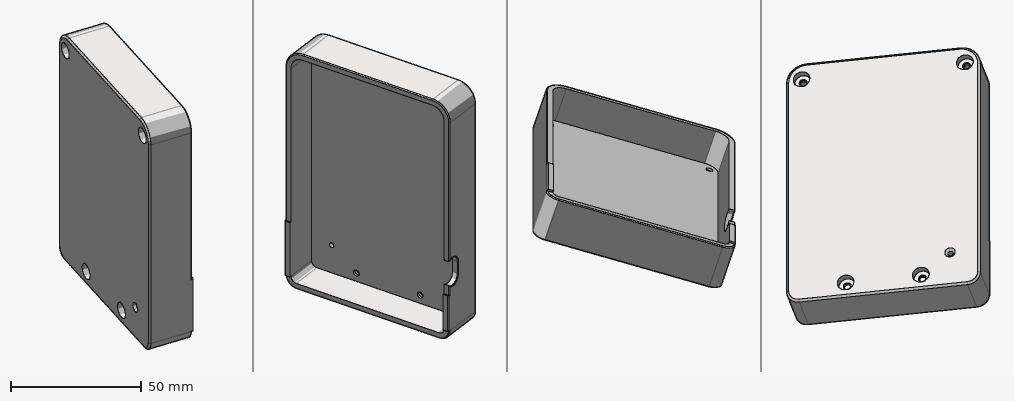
import cadquery as cq

width = 76.0
height = 106.0
depth = 19.2
lip_height = 0.7
wall = 2.5
floor_thickness = 4.2
top_corner_radius = 8.0
bottom_corner_radius = 5.0
front_chamfer_inset = 1.0
front_chamfer_depth = 0.6
rim_chamfer = 0.4

lip_start = bottom_corner_radius
left_lip_end = 20.9
right_lip_end = 29.3

notch_height = 12.3
notch_width = 7.0
notch_chamfer = 0.3
notch_center_height = 30.5
notch_center_inset = 2.2

upper_hole_x = 32.0
upper_hole_z = 46.0
lower_hole_x = 14.7
lower_hole_z = -46.7
counterbore_diameter = 6.5
counterbore_depth = 3.0
screw_hole_diameter = 2.5
screw_hole_mouth_diameter = 3.1
small_hole_x = 26.2
small_hole_z = -38.2
small_hole_diameter = 2.0
countersink_diameter = 4.0
countersink_angle = 90

front_y = -depth / 2
rim_y = depth / 2 - lip_height
bottom_z = -height / 2


def rounded_block(inset, y_start, y_end):
    """Upright block with the case's corner rounding, shrunk all round by the inset."""
    block = cq.Workplane("XY").box(width - 2 * inset, y_end - y_start, height - 2 * inset)
    block = block.translate((0, (y_start + y_end) / 2, 0))
    block = block.edges("|Y and >Z").fillet(top_corner_radius - inset)
    return block.edges("|Y and <Z").fillet(bottom_corner_radius - inset)


def make_tray():
    tray = rounded_block(0, front_y, rim_y)
    tray = tray.faces("<Y").chamfer(front_chamfer_inset, front_chamfer_depth)
    tray = tray.faces(">Y").chamfer(rim_chamfer)
    return tray.cut(rounded_block(wall, front_y + floor_thickness, rim_y))


def make_lip(side, end_height):
    """Lip on one side wall (side is -1 for left, +1 for right), carried down past the rim chamfer."""
    outer_x = side * width / 2
    inner_x = outer_x - side * wall
    base_y = rim_y - rim_chamfer
    top_y = depth / 2
    outline = [
        (inner_x, base_y),
        (outer_x, base_y),
        (outer_x, top_y - rim_chamfer),
        (outer_x - side * rim_chamfer, top_y),
        (inner_x, top_y),
    ]
    lip = cq.Workplane("XY").polyline(outline).close().extrude(end_height - lip_start)
    return lip.translate((0, 0, bottom_z + lip_start))


def make_notch():
    """Slot-shaped cutter through the left wall, flared at the outer face."""
    outer_face = cq.Workplane("YZ", origin=(-width / 2, 0, 0))
    outer_face = outer_face.center(rim_y - notch_center_inset, bottom_z + notch_center_height)
    slot = outer_face.slot2D(notch_height, notch_width, 90).extrude(wall)
    flare = outer_face.slot2D(
        notch_height + 2 * notch_chamfer, notch_width + 2 * notch_chamfer, 90
    ).extrude(notch_chamfer, taper=45)
    return slot.union(flare)


def on_front(body, positions):
    """Points at (x, z) positions on the front face of the body."""
    return body.copyWorkplane(cq.Workplane("XZ", origin=(0, front_y, 0))).pushPoints(positions)


tray = make_tray()
tray = tray.union(make_lip(-1, left_lip_end)).union(make_lip(1, right_lip_end))
tray = tray.cut(make_notch())

screw_positions = []
for side in (-1, 1):
    screw_positions.append((side * upper_hole_x, upper_hole_z))
    screw_positions.append((side * lower_hole_x, lower_hole_z))
tray = on_front(tray, screw_positions).cboreHole(
    screw_hole_diameter, counterbore_diameter, counterbore_depth, floor_thickness
)
mouth_bevel = (screw_hole_mouth_diameter - screw_hole_diameter) / 2
mouths = cq.Workplane("XZ", origin=(0, front_y + counterbore_depth, 0)).pushPoints(screw_positions)
tray = tray.cut(mouths.circle(screw_hole_mouth_diameter / 2).extrude(-mouth_bevel, taper=45))

result = on_front(tray, [(small_hole_x, small_hole_z)]).cskHole(
    small_hole_diameter, countersink_diameter, countersink_angle, floor_thickness
)